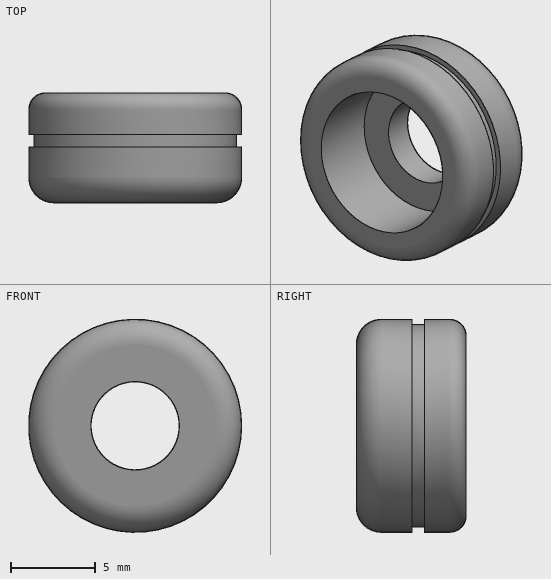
import cadquery as cq

outer_diameter = 12.6
width = 6.5
bore_diameter = 5.2
bore_depth = 2.0

recess_diameter = 8.7

front_rim_radius = 1.5
back_rim_radius = 1.0

groove_width = 0.73
groove_depth = 0.3
groove_back_offset = 2.47

back_y = width / 2
groove_center_y = back_y - groove_back_offset - groove_width / 2


def cylinder_along_y(diameter, length, center_y):
    """Solid cylinder on the Y axis, centred at center_y."""
    return (
        cq.Workplane("XZ", origin=(0, center_y + length / 2, 0))
        .circle(diameter / 2)
        .extrude(length)
    )


def rounded_body():
    body = cylinder_along_y(outer_diameter, width, 0)
    body = body.faces("<Y").edges().fillet(front_rim_radius)
    return body.faces(">Y").edges().fillet(back_rim_radius)


def groove_ring():
    outer = cylinder_along_y(outer_diameter + 2 * groove_depth, groove_width, groove_center_y)
    core = cylinder_along_y(outer_diameter - 2 * groove_depth, groove_width, groove_center_y)
    return outer.cut(core)


bore = cylinder_along_y(bore_diameter, width, 0)
recess_depth = width - bore_depth
recess = cylinder_along_y(recess_diameter, recess_depth, back_y - recess_depth / 2)

result = rounded_body().cut(groove_ring()).cut(bore).cut(recess)